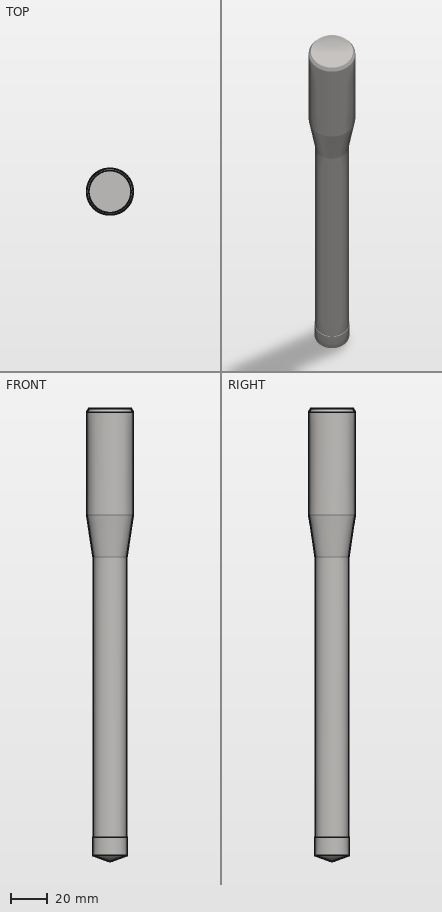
import cadquery as cq

total_length = 245.7
shank_diameter = 25.3
body_diameter = 18.5
tip_diameter = 19.0

point_height = 3.5
joint_z = 13.3
taper_bottom_z = 165.4
taper_top_z = 188.2

shank_chamfer_height = 2.0
shank_chamfer_inset = 1.2


def revolve_profile(points):
    """Revolve a closed (radius, height) outline about the Z axis."""
    return cq.Workplane("XZ").polyline(points).close().revolve(360, (0, 0), (0, 1))


def make_holder():
    """Chamfered shank, conical taper and long cylindrical body in one piece."""
    shank_radius = shank_diameter / 2
    body_radius = body_diameter / 2
    return revolve_profile([
        (0, joint_z),
        (body_radius, joint_z),
        (body_radius, taper_bottom_z),
        (shank_radius, taper_top_z),
        (shank_radius, total_length - shank_chamfer_height),
        (shank_radius - shank_chamfer_inset, total_length),
        (0, total_length),
    ])


def make_drill_tip():
    """Cylindrical cutting tip with a conical point, seated on the holder's end face."""
    tip_radius = tip_diameter / 2
    return revolve_profile([
        (0, 0),
        (tip_radius, point_height),
        (tip_radius, joint_z),
        (0, joint_z),
    ])


holder = make_holder()
drill_tip = make_drill_tip()

result = cq.Compound.makeCompound([holder.val(), drill_tip.val()])